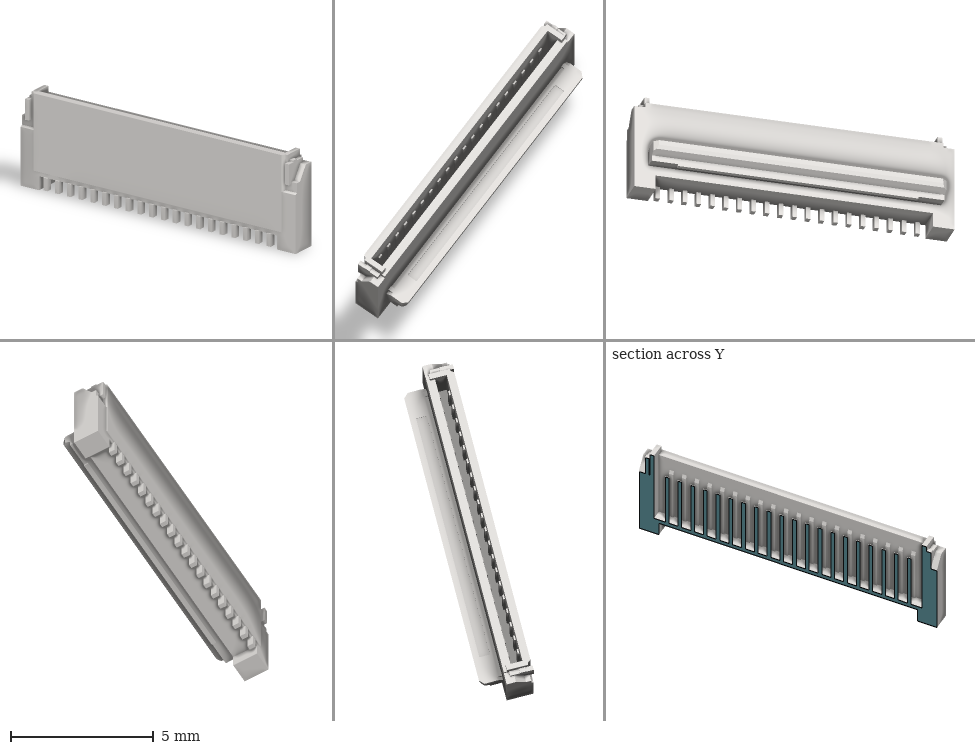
import cadquery as cq


length = 11.7
front_y = 0.07
back_y = 1.04
back_wall_top = 3.33
leg_length = 0.78
leg_height = 0.53

shell_length = 10.88
shell_top = 3.6
shell_back_y = 0.92
panel_length = 10.55
panel_front_y = 0.04
panel_bottom = 0.7
shell_step_length = 10.74

ear_top = 3.16
ear_crest_y = 0.7
ear_step_y = 0.34
ear_step_z = 2.63
ear_front_y = 0.15
ledge_low_z = 2.21
ledge_high_z = 2.27

slot_length = 10.51
slot_front_y = 0.32
slot_back_y = 0.74
slot_floor = 0.7

contact_count = 20
contact_span = 9.5
contact_pitch = contact_span / (contact_count - 1)
contact_width = 0.16
contact_rise = 0.06
contact_top = 2.81
contact_taper = 0.14
tail_bottom = 0.07
tail_top = 0.55
tail_depth = 0.23

plate_outer_x = 5.62
plate_thickness = 0.16
plate_depth = 0.85
plate_bottom = 2.55
plate_top = 3.33
tab_front_y = 0.28
tab_back_y = 0.5
tab_top = 3.39

flap_length = 10.69
flap_end_y = 1.87
flap_root_top = 1.56
flap_tip_top = 1.5
flap_tip_low_z = 1.32
flap_tip_low_y = 1.86
flap_chin_y = 1.8
flap_chin_z = 1.18
flap_heel_y = 1.51
flap_heel_top = 1.05
flap_heel_bottom = 0.84
flap_root_bottom = 0.88
flap_corner = 0.16
flap_recess_length = 8.78
flap_recess_front_y = 1.26
flap_recess_back_y = 1.65
flap_recess_depth = 0.04
hinge_groove_length = 10.13
hinge_groove_y = 1.19
hinge_groove_depth = 0.1
hinge_end_width = 0.12
hinge_end_y = 1.24
hinge_end_depth = 0.18
lip_front_y = 1.35
lip_back_y = flap_heel_y
lip_bottom = 0.77
lip_top = 0.94


def block(x0, x1, y0, y1, z0, z1):
    """Box between the given limits."""
    return cq.Workplane("XY").box(x1 - x0, y1 - y0, z1 - z0, centered=False).translate((x0, y0, z0))


def bar(bar_length, y0, y1, z0, z1):
    """Box of the given X length, centred on X = 0."""
    return block(-bar_length / 2, bar_length / 2, y0, y1, z0, z1)


def prism(points, x0, x1):
    """Outline of (Y, Z) points extruded from x0 to x1."""
    return cq.Workplane("YZ").polyline(points).close().extrude(x1 - x0).translate((x0, 0, 0))


def make_housing():
    """Lower body with its end legs and sloped ears."""
    side_profile = [
        (back_y, 0),
        (back_y, ear_top),
        (ear_crest_y, ear_top),
        (ear_step_y, ear_step_z),
        (ear_front_y, ear_step_z),
        (ear_front_y, ledge_high_z),
        (front_y, ledge_low_z),
        (front_y, 0),
    ]
    body = prism(side_profile, -length / 2, length / 2)
    opening = bar(length - 2 * leg_length, front_y, back_y, 0, leg_height)
    return body.cut(opening)


def make_shell():
    """Upper shell with the raised front panel and a lower back wall."""
    outline = [
        (shell_length / 2, shell_back_y),
        (shell_length / 2, ear_front_y),
        (shell_step_length / 2, ear_front_y),
        (panel_length / 2, panel_front_y),
    ]
    outline += [(-x, y) for x, y in reversed(outline)]
    shell = cq.Workplane("XY").polyline(outline).close().extrude(shell_top - panel_bottom)
    shell = shell.translate((0, 0, panel_bottom))
    below_ledge = bar(length, panel_front_y, front_y, 0, ledge_low_z)
    panel = bar(panel_length, panel_front_y, front_y, panel_bottom, shell_top)
    shell = shell.cut(below_ledge).union(panel)
    back_wall = bar(shell_length, slot_back_y, back_y, panel_bottom, back_wall_top)
    back_opening = bar(slot_length, slot_back_y, shell_back_y, back_wall_top, shell_top)
    return shell.union(back_wall).cut(back_opening)


def make_slot():
    """Mating cavity, open at the top."""
    return bar(slot_length, slot_front_y, slot_back_y, slot_floor, shell_top)


def make_contact(x):
    """Facing contact strips in the slot and the solder tail below it."""
    x0 = x - contact_width / 2
    x1 = x + contact_width / 2
    front_strip = block(x0, x1, slot_front_y, slot_front_y + contact_rise, slot_floor, contact_top)
    back_profile = [
        (slot_back_y, slot_floor),
        (slot_back_y, contact_top),
        (slot_back_y - contact_rise, contact_top - contact_taper),
        (slot_back_y - contact_rise, slot_floor),
    ]
    back_strip = prism(back_profile, x0, x1)
    tail = block(x0, x1, 0, tail_depth, tail_bottom, tail_top)
    return front_strip.union(back_strip).union(tail)


def make_plate():
    """Retention plate of the +X ear."""
    inner_x = plate_outer_x - plate_thickness
    plate = block(inner_x, plate_outer_x, 0, plate_depth, plate_bottom, plate_top)
    tab = block(inner_x, plate_outer_x, tab_front_y, tab_back_y, plate_top, tab_top)
    return plate.union(tab)


def flap_top_z(y):
    """Height of the flap's gently sloping top at the given Y."""
    slope = (flap_tip_top - flap_root_top) / (flap_end_y - back_y)
    return flap_root_top + slope * (y - back_y)


def hinge_bevel(start_y, depth, x0, x1):
    """Wedge that slopes the flap's top down towards the housing."""
    profile = [
        (back_y, flap_root_top),
        (start_y, flap_top_z(start_y)),
        (back_y, flap_root_top - depth),
    ]
    return prism(profile, x0, x1)


def make_flap():
    """Locking flap reaching back from the housing."""
    side_profile = [
        (back_y, flap_root_top),
        (flap_end_y, flap_tip_top),
        (flap_tip_low_y, flap_tip_low_z),
        (flap_chin_y, flap_chin_z),
        (flap_heel_y, flap_heel_top),
        (flap_heel_y, flap_heel_bottom),
        (back_y, flap_root_bottom),
    ]
    half = flap_length / 2
    flap = prism(side_profile, -half, half)
    corners = [
        (-half, back_y),
        (half, back_y),
        (half, flap_end_y - flap_corner),
        (half - flap_corner, flap_end_y),
        (flap_corner - half, flap_end_y),
        (-half, flap_end_y - flap_corner),
    ]
    flap = flap.intersect(cq.Workplane("XY").polyline(corners).close().extrude(shell_top))
    recess_profile = [
        (flap_recess_front_y, flap_top_z(flap_recess_front_y) - flap_recess_depth),
        (flap_recess_back_y, flap_top_z(flap_recess_back_y) - flap_recess_depth),
        (flap_recess_back_y, shell_top),
        (flap_recess_front_y, shell_top),
    ]
    recess = prism(recess_profile, -flap_recess_length / 2, flap_recess_length / 2)
    groove_half = hinge_groove_length / 2
    groove = hinge_bevel(hinge_groove_y, hinge_groove_depth, -groove_half, groove_half)
    flap = flap.cut(recess).cut(groove)
    lip = bar(flap_recess_length, lip_front_y, lip_back_y, lip_bottom, lip_top)
    end = hinge_bevel(hinge_end_y, hinge_end_depth, half - hinge_end_width, half)
    return flap.union(lip).cut(end).cut(end.mirror("YZ"))


result = make_housing().union(make_shell()).cut(make_slot())
for index in range(contact_count):
    result = result.union(make_contact(index * contact_pitch - contact_span / 2))
plate = make_plate()
result = result.union(plate).union(plate.mirror("YZ")).union(make_flap())